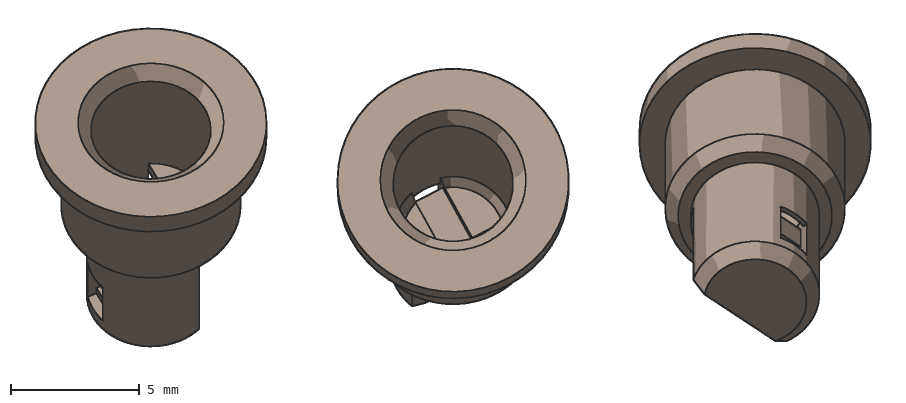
import cadquery as cq

total_height = 12.0
flange_diameter = 9.0
flange_thickness = 1.0
body_diameter = 7.0
body_bottom = total_height / 2
stem_diameter = 5.0
edge_chamfer = 0.5

flat_y = 0.95
collar_height = 0.5

bore_diameter = 4.65
mouth_chamfer = 0.5
bore_floor_chamfer = 0.34
shelf_z = body_bottom
bore_floor_z = 3.72

channel_width = 1.27
window_bottom = 1.05
window_top = 3.24
window_back_y = -2.05
slot_bottom = 1.42
slot_top = 2.04


def cylinder(diameter, bottom, top):
    return cq.Workplane("XY").workplane(offset=bottom).circle(diameter / 2).extrude(top - bottom)


def block(width, y_min, y_max, bottom, top):
    return (
        cq.Workplane("XY")
        .box(width, y_max - y_min, top - bottom, centered=(True, False, False))
        .translate((0, y_min, bottom))
    )


def make_outer_body():
    flange = cylinder(flange_diameter, total_height - flange_thickness, total_height)
    body = cylinder(body_diameter, body_bottom, total_height).faces("<Z").chamfer(edge_chamfer)
    stem = cylinder(stem_diameter, 0, body_bottom).faces("<Z").chamfer(edge_chamfer)
    flat_cut = block(stem_diameter, flat_y, stem_diameter, 0, body_bottom - collar_height)
    return flange.union(body).union(stem.cut(flat_cut))


def make_bore():
    upper_bore = cylinder(bore_diameter, shelf_z, total_height)
    mouth = (
        cq.Workplane("XY")
        .workplane(offset=total_height)
        .circle(bore_diameter / 2 + mouth_chamfer)
        .workplane(offset=-mouth_chamfer)
        .circle(bore_diameter / 2)
        .loft(ruled=True)
    )
    lower_bore = cylinder(bore_diameter, bore_floor_z, shelf_z).faces("<Z").chamfer(bore_floor_chamfer)
    d_limit = block(bore_diameter, -bore_diameter, flat_y, bore_floor_z, shelf_z)
    return upper_bore.union(mouth).union(lower_bore.intersect(d_limit))


def make_channel():
    channel = block(channel_width, -bore_diameter, flat_y, window_top, shelf_z)
    shaft = block(channel_width, -bore_diameter, window_back_y, window_bottom, shelf_z)
    return channel.union(shaft).intersect(cylinder(bore_diameter, window_bottom, shelf_z))


def make_window_and_slot():
    window = block(channel_width, -stem_diameter, window_back_y, window_bottom, window_top)
    slot = block(channel_width, window_back_y, flat_y, slot_bottom, slot_top)
    return window.union(slot)


result = make_outer_body().cut(make_bore()).cut(make_channel()).cut(make_window_and_slot())